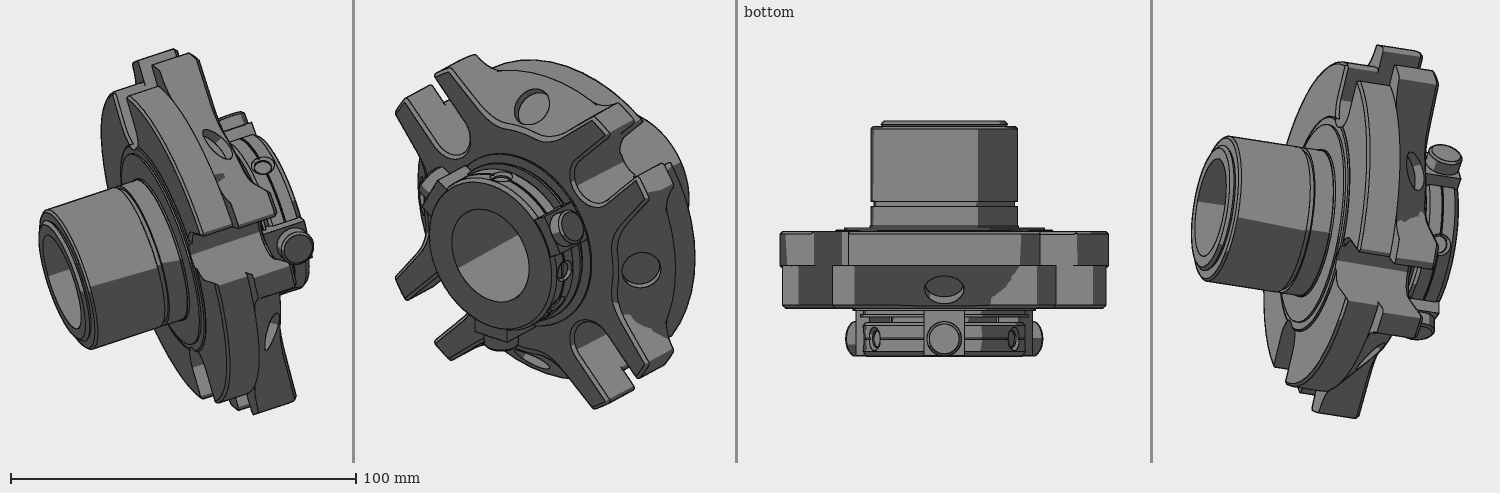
import cadquery as cq
import math


flange_radius = 47.6
disc_rear = 9.9
plate_rear = 22.3
edge_chamfer = 0.8
ear_tip_radius = 54.0
rear_chamfer = 1.0
corner_fillet = 1.05
ear_corner_x = 26.4
ear_wall_angle = 39.0
ear_root_fillet = 6.9
slot_width = 14.0
slot_end_centre = 37.1
slot_edge_chamfer = 0.9
quarter_turns = (0, 90, 180, 270)

port_diameter = 11.3
port_depth = 2.9
port_y = 17.0

step_radius = 31.5
step_front = -0.5
step_chamfer = 0.4
face_radius = 58.0 / 2
face_front = -1.05
neck_radius = 43.15 / 2
neck_front = -1.6
shaft_radius = 42.6 / 2
shaft_front = -30.4
shaft_chamfer = 0.7
groove_radius = 20.4
groove_rear = -7.2
groove_front = -8.7
lip_radius = 18.4
lip_root_radius = 17.8
lip_chamfer = 1.0
front_end = -32.0

boss_radius = 26.5
boss_rear = 22.9
hub_radius = 47.0 / 2
ring_radius = 48.5 / 2
ring_front = 24.1
ring_rear = 24.9
sleeve_radius = 30.6 / 2
bore_radius = 14.3

collar_radius = hub_radius
collar_front = 26.4
collar_rear = 36.2
collar_chamfer = 0.9
collar_rear_bevel = 1.3
collar_mid = 31.1
collar_groove_width = 0.4
collar_groove_depth = 0.3
screw_diameter = 5.0
screw_mouth_diameter = 6.8
screw_mouth_depth = (screw_mouth_diameter - screw_diameter) / 2
screw_depth = 1.4
set_screw_angles = (90, 210, 330)
slotted_screw_angle = 180
slotted_screw_depth = 1.0
driver_slot_width = 0.7
driver_slot_depth = 0.6

clip_angles = (30, 150, 270)
clip_width = 11.8
clip_inner = 21.5
clip_outer = 26.2
clip_rear = 35.9
head_diameter = 10.0
head_outer = 30.5
head_chamfer = 0.7

overlap = 1.0
near_full = 0.999


def turned(points):
    """Solid of revolution about Y from (radius, y) points."""
    return cq.Workplane("XY").polyline(points).close().revolve(360, (0, 0, 0), (0, 1, 0))


def around_axis(shape, angle):
    """Rotate a shape built along +X by an angle measured from +X towards +Z."""
    return shape.rotate((0, 0, 0), (0, 1, 0), -angle)


def radial_plane(distance, y):
    """Plane at a distance along +X, facing outwards, with local x along Y and local y along Z."""
    return cq.Workplane(cq.Plane(origin=(distance, y, 0), xDir=(0, 1, 0), normal=(1, 0, 0)))


def slot_cutter(half_width, y_front, y_rear):
    """Open-ended slot along +X with a round inner end."""
    outer_end = ear_tip_radius + overlap
    return (
        cq.Workplane("XZ", origin=(0, y_rear, 0))
        .moveTo(outer_end, -half_width)
        .lineTo(slot_end_centre, -half_width)
        .threePointArc((slot_end_centre - half_width, 0), (slot_end_centre, half_width))
        .lineTo(outer_end, half_width)
        .close()
        .extrude(y_rear - y_front)
    )


def slot_edge_cutter():
    """Chamfer along the front edge of a slot, on its counter-clockwise side only."""
    wide = slot_cutter(slot_width / 2 + slot_edge_chamfer, 0, slot_edge_chamfer)
    bevel = wide.faces(">Y").edges().chamfer(slot_edge_chamfer * near_full)
    reach = ear_tip_radius + 2 * overlap
    keep = cq.Workplane("XY").box(reach, 2 * slot_edge_chamfer, reach, centered=(False, True, False))
    return bevel.intersect(keep)


def ear_gap_cutter():
    """Space between two ears: conical 45 degree floor, V walls, filleted roots."""
    reach = ear_tip_radius + 2 * overlap
    wall_slope = math.tan(math.radians(ear_wall_angle))
    ear_corner_z = math.sqrt(ear_tip_radius**2 - ear_corner_x**2)
    apex = ear_corner_z - ear_corner_x * wall_slope
    wall_rise = reach * wall_slope
    wedge = (
        cq.Workplane("XZ", origin=(0, plate_rear + overlap, 0))
        .polyline([(apex, 0), (apex + wall_rise, reach), (apex + wall_rise, -reach)])
        .close()
        .extrude(plate_rear - disc_rear + 3 * overlap)
    )
    start = disc_rear - 3 * overlap
    end = plate_rear + 3 * overlap
    cone = turned([
        (0, start),
        (flange_radius + disc_rear - start, start),
        (flange_radius + disc_rear - end, end),
        (0, end),
    ])
    gap = wedge.cut(cone)
    root_zone = cq.selectors.BoxSelector(
        (0, disc_rear, -flange_radius / 2),
        (flange_radius - 2 * overlap, plate_rear, flange_radius / 2),
    )
    gap = gap.edges(root_zone).fillet(ear_root_fillet)
    above_disc = cq.Workplane("XY").box(
        4 * reach, plate_rear - disc_rear + overlap, 4 * reach, centered=(True, False, True)
    ).translate((0, disc_rear, 0))
    return gap.intersect(above_disc)


def make_ear_plate():
    """Rear plate of the flange, cut back between the ears."""
    plate = turned([
        (0, disc_rear),
        (ear_tip_radius, disc_rear),
        (ear_tip_radius, plate_rear),
        (0, plate_rear),
    ])
    gap = ear_gap_cutter()
    for angle in quarter_turns:
        plate = plate.cut(around_axis(gap, angle))
    return plate


def cut_slots(body):
    """Cut the four diagonal slots."""
    slot = slot_cutter(slot_width / 2, step_front - overlap, plate_rear + overlap)
    for angle in quarter_turns:
        body = body.cut(around_axis(slot, angle + 45))
    return body


def round_corners(body, outer_radius):
    """Fillet the edges parallel to Y that lie on the outer radius."""
    def on_rim(edge):
        centre = edge.Center()
        return math.hypot(centre.x, centre.z) > outer_radius - overlap

    corners = [edge for edge in body.edges("|Y").vals() if on_rim(edge)]
    return body.newObject(corners).fillet(corner_fillet)


def front_rim_cutter():
    """Ring that bevels the front rim of the disc."""
    outside = flange_radius + overlap
    return turned([
        (flange_radius - edge_chamfer - overlap, -overlap),
        (outside, -overlap),
        (outside, edge_chamfer + overlap),
    ])


def make_flange():
    """Slotted front disc with its raised step, joined to the eared rear plate."""
    disc = turned([
        (0, 0),
        (flange_radius, 0),
        (flange_radius, disc_rear),
        (0, disc_rear),
    ])
    step = turned([
        (0, step_front),
        (step_radius - step_chamfer, step_front),
        (step_radius, step_front + step_chamfer),
        (step_radius, edge_chamfer + overlap),
        (0, edge_chamfer + overlap),
    ])
    disc = round_corners(cut_slots(disc), flange_radius)
    disc = disc.cut(front_rim_cutter())
    bevel = slot_edge_cutter()
    for angle in quarter_turns:
        disc = disc.cut(around_axis(bevel, angle + 45))
    plate = round_corners(cut_slots(make_ear_plate()), ear_tip_radius)
    plate = plate.faces(">Y").chamfer(rear_chamfer)
    return disc.union(cut_slots(step)).union(plate)


def port_cutter():
    """Blind hole square to the conical face."""
    surface_radius = flange_radius - (port_y - disc_rear)
    face = cq.Plane(origin=(surface_radius, port_y, 0), xDir=(0, 0, 1), normal=(1, 1, 0))
    return (
        cq.Workplane(face)
        .workplane(offset=-port_depth)
        .circle(port_diameter / 2)
        .extrude(port_depth + 3 * overlap)
    )


def make_core():
    """Front face, shaft, rear hub, retaining ring, sleeve and collar as one turned body."""
    groove_low = collar_mid - collar_groove_width / 2
    groove_high = collar_mid + collar_groove_width / 2
    return turned([
        (0, front_end),
        (lip_radius - lip_chamfer, front_end),
        (lip_radius, front_end + lip_chamfer),
        (lip_root_radius, shaft_front),
        (shaft_radius - shaft_chamfer, shaft_front),
        (shaft_radius, shaft_front + shaft_chamfer),
        (shaft_radius, groove_front),
        (groove_radius, groove_front),
        (groove_radius, groove_rear),
        (shaft_radius, groove_rear),
        (shaft_radius, neck_front),
        (neck_radius, neck_front),
        (neck_radius, face_front),
        (face_radius, face_front),
        (face_radius, disc_rear),
        (boss_radius, disc_rear),
        (boss_radius, boss_rear),
        (hub_radius, boss_rear),
        (hub_radius, ring_front),
        (ring_radius, ring_front),
        (ring_radius, ring_rear),
        (sleeve_radius, ring_rear),
        (sleeve_radius, collar_front),
        (collar_radius - collar_chamfer, collar_front),
        (collar_radius, collar_front + collar_chamfer),
        (collar_radius, groove_low),
        (collar_radius - collar_groove_depth, groove_low),
        (collar_radius - collar_groove_depth, groove_high),
        (collar_radius, groove_high),
        (collar_radius, collar_rear - collar_rear_bevel),
        (collar_radius - collar_chamfer, collar_rear),
        (0, collar_rear),
    ])


def make_clip():
    """Setting clip with its cap screw head, on the +X side."""
    block = cq.Workplane("XY").box(
        clip_outer - clip_inner, clip_rear - boss_rear, clip_width, centered=(False, False, True)
    ).translate((clip_inner, boss_rear, 0))
    head = (
        radial_plane(clip_outer, collar_mid)
        .circle(head_diameter / 2)
        .extrude(head_outer - clip_outer)
        .faces(">X")
        .chamfer(head_chamfer)
    )
    return block.union(head)


def screw_hole_cutter(depth):
    """Countersunk blind hole into the collar from the +X side."""
    hole = radial_plane(collar_radius - depth, collar_mid).circle(screw_diameter / 2).extrude(depth + overlap)
    mouth = (
        radial_plane(collar_radius - screw_mouth_depth, collar_mid)
        .circle(screw_diameter / 2)
        .workplane(offset=screw_mouth_depth)
        .circle(screw_mouth_diameter / 2)
        .loft()
    )
    return hole.union(mouth)


def slotted_screw_cutter():
    """Screw hole with a driver slot across its floor."""
    driver_slot = (
        radial_plane(collar_radius - slotted_screw_depth - driver_slot_depth, collar_mid)
        .rect(driver_slot_width, screw_diameter)
        .extrude(driver_slot_depth + overlap / 2)
    )
    return screw_hole_cutter(slotted_screw_depth).union(driver_slot)


result = make_flange().union(make_core())

port = port_cutter()
for angle in quarter_turns:
    result = result.cut(around_axis(port, angle))

clip = make_clip()
for angle in clip_angles:
    result = result.union(around_axis(clip, angle))

set_screw = screw_hole_cutter(screw_depth)
for angle in set_screw_angles:
    result = result.cut(around_axis(set_screw, angle))
result = result.cut(around_axis(slotted_screw_cutter(), slotted_screw_angle))

bore = turned([
    (0, front_end - overlap),
    (bore_radius, front_end - overlap),
    (bore_radius, collar_rear + overlap),
    (0, collar_rear + overlap),
])
result = result.cut(bore)